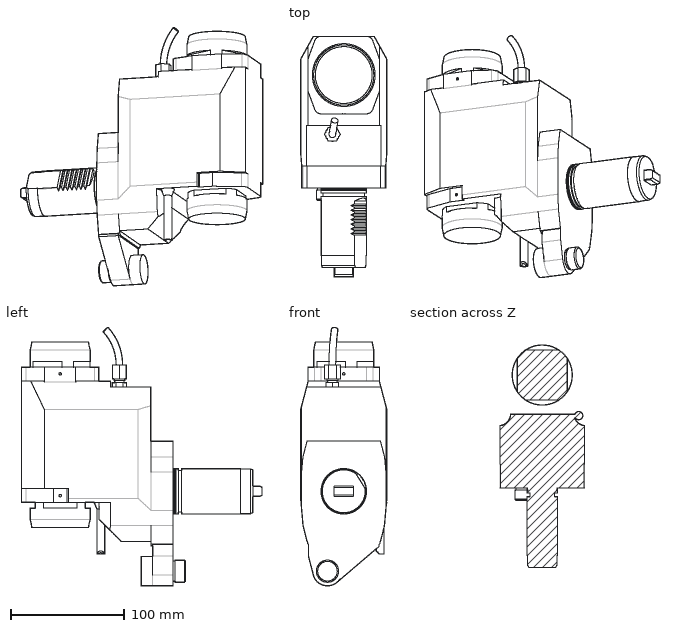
import cadquery as cq
import math


overlap = 2.3

half_width = 38.0
front_half_width = 37.1
housing_front = 19.5
housing_back = 133.7
front_taper_start = 31.0
back_bevel_start = 113.5
back_half_width = 26.9
roof_z = 97.0
roof_half_width = 31.5
roof_step_y = 55.1
roof_step_z = 92.0
shoulder_z = 72.0
side_bottom_z = -6.2
waist_z = 30.0
waist_half_width = 36.0
belly_z = -44.5
belly_half_width = 32.3
belly_flat_end = 45.5
belly_back = 65.2
belly_relief_radius = 10.0
pocket_front = 92.3
pocket_top = 2.5

plate_top = 44.2
plate_corner_half_width = 31.7
plate_corner_z = -46.5
plate_bottom = -55.0
plate_back_bottom = -48.0
lug_thickness = 18.0
lug_half_width = 31.2
lug_left_corner_z = -57.2
lug_right_corner_z = -48.5
lug_radius = 13.0
lug_x = -14.4
lug_z = -70.5
boss_back = 28.2
pin_diameter = 19.5
pin_length = 11.0
pin_neck_diameter = 18.0
pin_neck_length = 1.8
pin_chamfer = 1.1

shank_diameter = 40.0
shank_tip_diameter = 39.6
shank_length = 70.2
shank_tip_start = 59.5
shank_chamfer_length = 2.0
shank_chamfer_depth = 1.0
seal_length = 2.3
seal_chamfer = 0.7
groove_diameter = 37.0
groove_start = 4.5
groove_end = 7.5
flat_distance = 17.3
flat_angle = 32
flat_start = 11.6
tooth_depth = 1.8
tooth_pitch = 4.0
tooth_half_width = tooth_pitch / 3
tooth_count = 7
first_tooth = 15.5
tang_width = 16.9
tang_thickness = 9.5
tang_length = 8.2
tang_chamfer_length = 2.3
tang_chamfer_depth = 1.4
tang_corner = 0.7

spindle_y = 99.5
flange_half_depth = 34.2
flange_corner_radius = 6.0
flange_corner_x = 24.1
flange_height = 12.3
upper_flange_root = 95.7
upper_flange_half_width = 31.7
upper_flange_flat = 13.7
lower_flange_half_width = 34.0
lower_flange_flat = 6.0
cap_diameter = 53.0
cap_top_diameter = 50.1
cap_height = 22.3
cap_cone_height = 7.3
wrench_size = 44.2
wrench_height = 5.0
upper_wrench_angle = -30
recess_diameter = 55.4
recess_depth = 1.1
screw_diameter = 2.1
screw_depth = 2.3
screw_drop = 6.0

fitting_x = -10.0
fitting_y = 47.4
nut_corners = 14.1
lock_nut_height = 3.6
lock_nut_corners = 12.8
lock_nut_turn = 30
collar_diameter = 9.8
collar_height = 1.4
neck_diameter = 8.2
neck_height = 2.0
nut_height = 12.3
hose_diameter = 6.0
hose_bend_radius = 45.3
hose_bend_angle = 43.2
hose_heading = 9.5

nozzle_x = 32.1
nozzle_y = 63.8
nozzle_diameter = 7.0
nozzle_bottom = -55.4
nozzle_bevel = 2.7
nozzle_bore = 4.0
nozzle_bore_depth = 4.5
nozzle_seat_diameter = 11.8
nozzle_seat_height = 6.0

flange_top = roof_z + flange_height
lower_flange_bottom = pocket_top - flange_height

flank_slope = (waist_z + side_bottom_z) / (half_width - waist_half_width)
plate_flank_z = (half_width - front_half_width) * flank_slope - side_bottom_z


def mirrored(points):
    """Close a right-hand outline with its mirror image in X = 0."""
    return points + [(-x, y) for x, y in reversed(points)]


def slab(points, z0, z1):
    """Extrude an XY outline between two heights."""
    return cq.Workplane("XY").workplane(offset=z0).polyline(points).close().extrude(z1 - z0)


def cylinder_z(x, y, z0, diameter, height):
    return cq.Workplane("XY", origin=(x, y, z0)).circle(diameter / 2).extrude(height)


def hexagon_z(x, y, z0, corners, height, turn=0):
    prism = cq.Workplane("XY").polygon(6, corners).extrude(height)
    return prism.rotate((0, 0, 0), (0, 0, 1), turn).translate((x, y, z0))


def turned_y(profile, x, z):
    """Revolve (radius, distance towards -Y) points about a Y-parallel axis."""
    points = [(radius, -distance) for radius, distance in profile]
    return cq.Workplane("XY").polyline(points).close().revolve(360, (0, 0), (0, 1)).translate((x, 0, z))


def make_housing():
    """Intersect the front section with the side profile and the plan outline."""
    section = mirrored([
        (belly_half_width, belly_z),
        (waist_half_width, -waist_z),
        (half_width, side_bottom_z),
        (half_width, shoulder_z),
        (roof_half_width, roof_z),
    ])
    body = cq.Workplane("XZ").polyline(section).close().extrude(-housing_back)

    profile = [
        (housing_front, belly_z),
        (belly_flat_end, belly_z),
        (belly_back, belly_z + belly_back - belly_flat_end),
        (belly_back, lower_flange_bottom),
        (pocket_front, lower_flange_bottom),
        (pocket_front, pocket_top),
        (housing_back, pocket_top),
        (housing_back, roof_z),
        (roof_step_y, roof_z),
        (roof_step_y, roof_step_z),
        (housing_front, roof_step_z),
    ]
    body = body.intersect(cq.Workplane("YZ").polyline(profile).close().extrude(half_width, both=True))

    plan = mirrored([
        (front_half_width, housing_front),
        (half_width, front_taper_start),
        (half_width, back_bevel_start),
        (back_half_width, housing_back),
    ])
    body = body.intersect(slab(plan, belly_z, roof_z))
    return body.cut(belly_relief(1)).cut(belly_relief(-1))


def belly_relief(side):
    """Cylinder that hollows out a vertical corner at the back of the belly."""
    height = lower_flange_bottom - belly_z
    return cylinder_z(side * half_width, belly_back, belly_z, 2 * belly_relief_radius, height)


def make_plate():
    """Plate with an arched foot; only its front layer, as thick as the lug, fills the arch."""
    plate = (
        cq.Workplane("XZ")
        .moveTo(-plate_corner_half_width, plate_corner_z)
        .lineTo(-waist_half_width, -waist_z)
        .lineTo(-front_half_width, -plate_flank_z)
        .lineTo(-front_half_width, plate_flank_z)
        .lineTo(-waist_half_width, waist_z)
        .lineTo(-belly_half_width, plate_top)
        .lineTo(belly_half_width, plate_top)
        .lineTo(waist_half_width, waist_z)
        .lineTo(front_half_width, plate_flank_z)
        .lineTo(front_half_width, -plate_flank_z)
        .lineTo(waist_half_width, -waist_z)
        .lineTo(plate_corner_half_width, plate_corner_z)
        .threePointArc((0, plate_bottom), (-plate_corner_half_width, plate_corner_z))
        .close()
        .extrude(-housing_front)
    )
    back_waste = cq.Workplane("XY").box(
        2 * half_width,
        housing_front - lug_thickness,
        plate_back_bottom - plate_bottom,
        centered=(True, False, False),
    )
    return plate.cut(back_waste.translate((0, lug_thickness, plate_bottom)))


def tangent_point(corner, side):
    """Point where the line from a corner touches the lug end; side picks the tangent."""
    dx = corner[0] - lug_x
    dz = corner[1] - lug_z
    angle = math.atan2(dz, dx) + side * math.acos(lug_radius / math.hypot(dx, dz))
    return lug_x + lug_radius * math.cos(angle), lug_z + lug_radius * math.sin(angle)


def make_lug():
    left_corner = (-lug_half_width, lug_left_corner_z)
    right_corner = (lug_half_width, lug_right_corner_z)
    web = (
        cq.Workplane("XZ")
        .moveTo(-lug_half_width, -waist_z)
        .lineTo(*left_corner)
        .lineTo(*tangent_point(left_corner, 1))
        .threePointArc((lug_x, lug_z - lug_radius), tangent_point(right_corner, -1))
        .lineTo(*right_corner)
        .lineTo(lug_half_width, -waist_z)
        .close()
        .extrude(-lug_thickness)
    )
    boss = cq.Workplane("XZ", origin=(lug_x, 0, lug_z)).circle(lug_radius).extrude(-boss_back)
    pin_radius = pin_diameter / 2
    pin = turned_y([
        (0, -pin_neck_length),
        (pin_neck_diameter / 2, -pin_neck_length),
        (pin_neck_diameter / 2, pin_neck_length),
        (pin_radius, pin_neck_length),
        (pin_radius, pin_length - pin_chamfer),
        (pin_radius - pin_chamfer, pin_length),
        (0, pin_length),
    ], lug_x, lug_z)
    return web.union(boss).union(pin)


def make_shank():
    radius = shank_diameter / 2
    tip_radius = shank_tip_diameter / 2
    shank = turned_y([
        (0, -overlap),
        (radius - seal_chamfer, -overlap),
        (radius - seal_chamfer, 0),
        (radius, seal_chamfer),
        (radius, seal_length - seal_chamfer),
        (radius - seal_chamfer, seal_length),
        (radius, seal_length),
        (radius, groove_start),
        (groove_diameter / 2, groove_start),
        (groove_diameter / 2, groove_end),
        (radius, groove_end),
        (radius, shank_tip_start),
        (tip_radius, shank_tip_start),
        (tip_radius, shank_length - shank_chamfer_length),
        (tip_radius - shank_chamfer_depth, shank_length),
        (0, shank_length),
    ], 0, 0)
    return shank.cut(make_serration()).union(make_tang())


def make_serration():
    """Clamping flat with a 45 degree run-out and V-shaped cross grooves."""
    outside = shank_diameter
    clearance = outside - flat_distance
    waste = (
        cq.Workplane("XY")
        .polyline([
            (flat_distance, -flat_start),
            (outside, -flat_start + clearance),
            (outside, -shank_length),
            (flat_distance, -shank_length),
        ])
        .close()
        .extrude(outside, both=True)
    )
    for index in range(tooth_count):
        y = -first_tooth - index * tooth_pitch
        groove = (
            cq.Workplane("XY")
            .polyline([
                (flat_distance - tooth_depth, y),
                (flat_distance, y + tooth_half_width),
                (outside, y + tooth_half_width),
                (outside, y - tooth_half_width),
                (flat_distance, y - tooth_half_width),
            ])
            .close()
            .extrude(outside, both=True)
        )
        waste = waste.union(groove)
    return waste.rotate((0, 0, 0), (0, 1, 0), -flat_angle)


def make_tang():
    """Driving tang, bevelled above and below at its free end."""
    half = tang_thickness / 2
    end_half = half - tang_chamfer_depth
    shoulder_y = -(shank_length + tang_length - tang_chamfer_length)
    end_y = -(shank_length + tang_length)
    profile = [
        (-shank_length, -half),
        (shoulder_y, -half),
        (end_y, -end_half),
        (end_y, end_half),
        (shoulder_y, half),
        (-shank_length, half),
    ]
    tang = cq.Workplane("YZ").polyline(profile).close().extrude(tang_width / 2, both=True)
    return tang.edges("|Y").chamfer(tang_corner)


def make_flange(side_half_width, side_flat, z0, z1):
    """Flange with bent sides about the spindle axis with four rounded corners."""
    quarter = [(side_half_width, side_flat), (flange_corner_x, flange_half_depth)]
    outline = mirrored([(x, -y) for x, y in reversed(quarter)] + quarter)
    flange = slab(outline, z0, z1)
    flange = flange.edges("|Z").edges("<Y or >Y").fillet(flange_corner_radius)
    return flange.translate((0, spindle_y, 0))


def make_cap(wrench_angle):
    """Cap on Z = 0 with four wrench flats around its foot, which reaches below Z = 0."""
    radius = cap_diameter / 2
    cap = (
        cq.Workplane("XZ")
        .polyline([
            (0, wrench_height),
            (radius, wrench_height),
            (radius, cap_height - cap_cone_height),
            (cap_top_diameter / 2, cap_height),
            (0, cap_height),
        ])
        .close()
        .revolve(360, (0, 0), (0, 1))
    )
    foot_height = wrench_height + overlap
    foot = cylinder_z(0, 0, wrench_height - foot_height, cap_diameter, foot_height)
    square = cq.Workplane("XY", origin=(0, 0, wrench_height)).rect(wrench_size, wrench_size)
    square = square.extrude(-foot_height)
    foot = foot.intersect(square.rotate((0, 0, 0), (0, 0, 1), wrench_angle))
    return cap.union(foot)


def make_spindle_ends(body):
    recess = cylinder_z(0, spindle_y, flange_top - recess_depth, recess_diameter, recess_depth)
    upper = make_flange(upper_flange_half_width, upper_flange_flat, upper_flange_root, flange_top).cut(recess)
    lower = make_flange(lower_flange_half_width, lower_flange_flat, lower_flange_bottom, pocket_top)

    upper_cap = make_cap(upper_wrench_angle).translate((0, spindle_y, flange_top))
    lower_cap = make_cap(0).rotate((0, 0, 0), (1, 0, 0), 180).translate((0, spindle_y, lower_flange_bottom))
    body = body.union(upper).union(lower).union(upper_cap).union(lower_cap)

    upper_screw_z = flange_top - screw_drop
    lower_screw_z = lower_flange_bottom + screw_drop
    for x, z in ((upper_flange_half_width, upper_screw_z), (lower_flange_half_width, lower_screw_z)):
        hole = cq.Workplane("YZ", origin=(-x, spindle_y, z)).circle(screw_diameter / 2).extrude(screw_depth)
        body = body.cut(hole)
    front_y = spindle_y - flange_half_depth
    front_hole = cq.Workplane("XZ", origin=(0, front_y, upper_screw_z))
    return body.cut(front_hole.circle(screw_diameter / 2).extrude(-screw_depth))


def make_hose():
    """Stack the fitting on the stepped roof and bend the hose backwards out of it."""
    z = roof_step_z
    fitting = hexagon_z(fitting_x, fitting_y, z, lock_nut_corners, lock_nut_height, lock_nut_turn)
    z += lock_nut_height
    fitting = fitting.union(cylinder_z(fitting_x, fitting_y, z, neck_diameter, neck_height))
    z += neck_height
    fitting = fitting.union(cylinder_z(fitting_x, fitting_y, z, collar_diameter, collar_height))
    z += collar_height
    fitting = fitting.union(hexagon_z(fitting_x, fitting_y, z, nut_corners, nut_height))
    z += nut_height

    hose = (
        cq.Workplane("XY")
        .circle(hose_diameter / 2)
        .revolve(hose_bend_angle, (2.3, hose_bend_radius), (-2.3, hose_bend_radius))
    )
    hose = hose.rotate((0, 0, 0), (0, 0, 1), -hose_heading).translate((fitting_x, fitting_y, z))
    return fitting.union(hose)


def make_nozzle():
    """Tube with a seat cone above and a drilled outlet bevelled on its -X side."""
    top = lower_flange_bottom
    tube = cylinder_z(nozzle_x, nozzle_y, nozzle_bottom, nozzle_diameter, top - nozzle_bottom + overlap)
    left = nozzle_x - nozzle_diameter / 2
    bevel = (
        cq.Workplane("XZ", origin=(left, nozzle_y, nozzle_bottom))
        .polyline([(0, 0), (nozzle_bevel, 0), (0, nozzle_bevel)])
        .close()
        .extrude(nozzle_diameter, both=True)
    )
    outlet = cylinder_z(nozzle_x, nozzle_y, nozzle_bottom, nozzle_bore, nozzle_bore_depth)
    seat = (
        cq.Workplane("XY", origin=(nozzle_x, nozzle_y, top))
        .circle(nozzle_seat_diameter / 2)
        .workplane(offset=-nozzle_seat_height)
        .circle(nozzle_diameter / 2)
        .loft()
    )
    return tube.cut(bevel).cut(outlet).union(seat)


body = make_housing().union(make_plate()).union(make_lug()).union(make_shank())
body = make_spindle_ends(body)
result = body.union(make_hose()).union(make_nozzle())